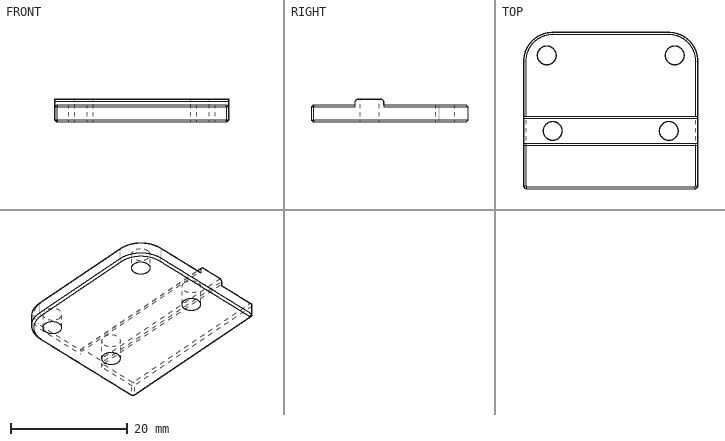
import cadquery as cq

width = 30.0
depth = 27.0
plate_thickness = 3.0
corner_radius = 5.0

edge_chamfer = 0.4

rib_width = 5.0
rib_height = 1.0
rib_front_y = 7.5
rib_center_y = rib_front_y + rib_width / 2

hole_diameter = 3.2
back_hole_inset = 4.0
rib_hole_inset = 5.0


def make_plate():
    """Plate with rounded back corners and every outer edge chamfered."""
    blank = cq.Workplane("XY").box(width, depth, plate_thickness, centered=False)
    rounded = blank.edges("|Z and >Y").fillet(corner_radius)
    front_cut = rounded.edges("|Z and <Y").chamfer(edge_chamfer)
    return front_cut.faces("<Z or >Z").edges().chamfer(edge_chamfer)


def make_rib():
    """Rib standing on the plate, with its long top edges chamfered."""
    rib_base_z = plate_thickness - edge_chamfer
    bar = (
        cq.Workplane("XY")
        .box(width, rib_width, plate_thickness - rib_base_z + rib_height, centered=False)
        .translate((0, rib_front_y, rib_base_z))
    )
    return bar.edges("|X and >Z").chamfer(edge_chamfer)


def make_holes():
    """Cylinders for the back pair and the rib pair of through holes."""
    centers = []
    for inset, y in ((back_hole_inset, depth - back_hole_inset), (rib_hole_inset, rib_center_y)):
        centers += [(inset, y), (width - inset, y)]
    return (
        cq.Workplane("XY")
        .pushPoints(centers)
        .circle(hole_diameter / 2)
        .extrude(plate_thickness + rib_height)
    )


result = make_plate().union(make_rib()).cut(make_holes())